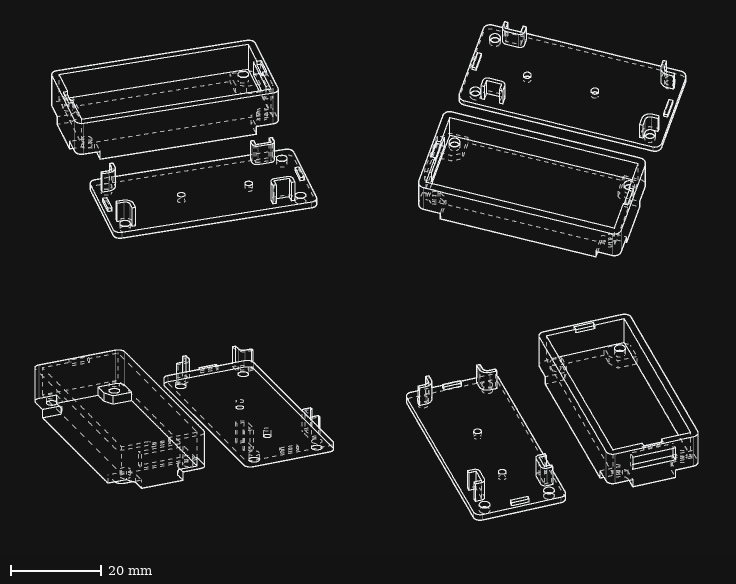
import cadquery as cq
import math

total_span = 52.95
width = 21.65
length = 46.95
corner_radius = 1.6
wall = 1.65
screw_inset = 3.25
screw_hole_diameter = 2.4

box_height = 10.4
foot_height = 2.05
floor_thickness = 1.6
floor_top = foot_height + floor_thickness
nut_circumradius = 2.55
port_width = 10.05
port_bottom = 5.0
port_height = 3.4
recess_width = 4.5
recess_reach = 1.0
recess_depth = 0.95

lid_left = total_span - width
lid_thickness = 1.6
tab_width = 4.15
tab_thickness = 0.95
tab_inset = 0.8
tab_height = 0.85
mount_hole_diameter = 1.7
mount_holes = [(10.75, 33.95), (10.95, 18.3)]

clip_inset = 1.7
clip_height = 4.9
clip_wall = 0.8
channel_reach = 2.5
channel_length = 5.1
channel_start = 36.9
channel_radius = 1.05
corner_clip_size = 3.5
corner_clip_radius = 1.9


def block(x_size, y_size, z_size, x, y, z):
    """Box with its lowest corner at (x, y, z)."""
    return cq.Workplane("XY").box(x_size, y_size, z_size, centered=False).translate((x, y, z))


def rounded_plate(height):
    """Outline shared by box and lid, with its corner at the origin."""
    return block(width, length, height, 0, 0, 0).edges("|Z").fillet(corner_radius)


def mirror_across(body):
    """Mirror image of a body across the lengthwise centre plane."""
    return body.mirror("YZ", (width / 2, 0, 0))


def mirror_along(body):
    """Mirror image of a body across the crosswise centre plane."""
    return body.mirror("XZ", (0, length / 2, 0))


def screw_holes(depth):
    """Four cylinders, one near each corner."""
    x_pitch = width - 2 * screw_inset
    y_pitch = length - 2 * screw_inset
    return (
        cq.Workplane("XY")
        .center(width / 2, length / 2)
        .rarray(x_pitch, y_pitch, 2, 2)
        .circle(screw_hole_diameter / 2)
        .extrude(depth)
    )


def nut_notch():
    """Half-hexagon nut seat opening onto both sides of the corner at the origin."""
    hexagon_step = math.radians(60)
    flat_y = screw_inset + nut_circumradius * math.sin(hexagon_step)
    flat_end_x = screw_inset + nut_circumradius * math.cos(hexagon_step)
    vertex_x = screw_inset + nut_circumradius
    return (
        cq.Workplane("XY")
        .polyline([(0, 0), (vertex_x, 0), (vertex_x, screw_inset), (flat_end_x, flat_y), (0, flat_y)])
        .close()
        .extrude(foot_height)
    )


def make_box():
    """Open box with a corner-notched foot, a port in its back wall and two rim recesses."""
    foot = block(width, length, foot_height, 0, 0, 0)
    near_left = nut_notch()
    near_right = mirror_across(near_left)
    for notch in (near_left, near_right):
        foot = foot.cut(notch).cut(mirror_along(notch))

    shell = rounded_plate(box_height - foot_height).translate((0, 0, foot_height))
    cavity = block(width - 2 * wall, length - 2 * wall, box_height - floor_top, wall, wall, floor_top)
    body = foot.union(shell).cut(cavity).cut(screw_holes(floor_top))

    port = block(port_width, wall, port_height, (width - port_width) / 2, length - wall, port_bottom)
    recess = block(
        recess_width,
        recess_reach,
        recess_depth,
        (width - recess_width) / 2,
        wall - recess_reach,
        box_height - recess_depth,
    )
    return body.cut(port).cut(recess).cut(mirror_along(recess))


def channel_clip():
    """U-shaped clip that opens towards the side of the lid."""
    outer = block(channel_reach, channel_length, clip_height, clip_inset, channel_start, lid_thickness)
    outer = outer.edges("|Z and >X").fillet(channel_radius)
    slot = block(
        channel_reach - clip_wall,
        channel_length - 2 * clip_wall,
        clip_height,
        clip_inset,
        channel_start + clip_wall,
        lid_thickness,
    )
    return outer.cut(slot)


def corner_clip():
    """L-shaped clip with a rounded bend around a screw hole."""
    outer = block(corner_clip_size, corner_clip_size, clip_height, clip_inset, clip_inset, lid_thickness)
    outer = outer.edges("|Z and >X and >Y").fillet(corner_clip_radius)
    inner_size = corner_clip_size - clip_wall
    inner = block(inner_size, inner_size, clip_height, clip_inset, clip_inset, lid_thickness)
    inner = inner.edges("|Z and >X and >Y").fillet(corner_clip_radius - clip_wall)
    return outer.cut(inner)


def make_lid():
    """Flat lid with four clips, two rim tabs and through holes."""
    body = rounded_plate(lid_thickness).cut(screw_holes(lid_thickness))
    mount_cutters = cq.Workplane("XY").pushPoints(mount_holes).circle(mount_hole_diameter / 2)
    body = body.cut(mount_cutters.extrude(lid_thickness))

    for clip in (channel_clip(), corner_clip()):
        body = body.union(clip).union(mirror_across(clip))

    tab = block(tab_width, tab_thickness, tab_height, (width - tab_width) / 2, tab_inset, lid_thickness)
    body = body.union(tab).union(mirror_along(tab))
    return body.translate((lid_left, 0, 0))


box = make_box()
lid = make_lid()
result = cq.Compound.makeCompound([box.solids().val(), lid.solids().val()])